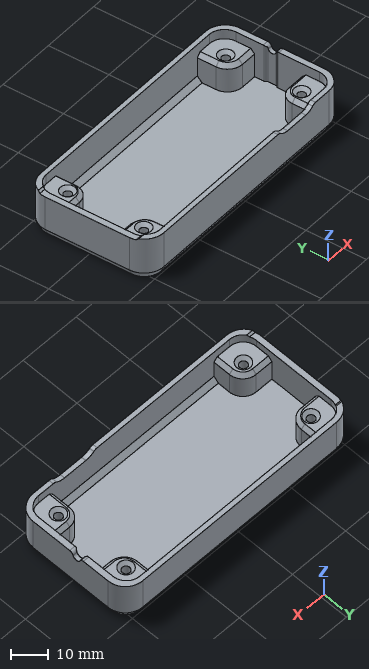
import cadquery as cq
import math

length = 86.0
width = 40.8
height = 13.85
outer_radius = 6.5
base_inset = 1.0
base_bevel_height = 2.1

end_wall = 2.0
side_wall = 1.6
floor_thickness = 1.5
inner_radius = 5.0
floor_bevel = 1.6
cavity_length = length - 2 * end_wall
cavity_width = width - 2 * side_wall

bosses = [
    (-1, 1, 10.4, 10.65, 5.0),
    (-1, -1, 10.9, 10.75, 5.0),
    (1, 1, 10.35, 11.2, 5.0),
    (1, -1, 10.35, 10.75, 4.5),
]
boss_top = 10.65
boss_bevel = 1.3
screw_x = 34.85
screw_y = 12.55
screw_diameter = 2.6
countersink_diameter = 4.9
countersink_depth = 1.1

step_depth = 0.55
step_floor_width = 31.8
step_end_run = 0.7
step_reach = 10.0

dip_x = 22.2
dip_depth = 1.55
dip_floor_width = 8.0
dip_rim_radius = 2.0
dip_floor_radius = 4.7

cable_y = 2.2
cable_depth = 2.0
cable_half_width = 2.55
groove_depth = 0.5
groove_floor_width = 2.6
groove_side_run = 0.95


def rounded_block(size_x, size_y, bottom, top, radius):
    """Centred block between two levels with rounded upright edges."""
    block = cq.Workplane("XY").workplane(offset=bottom).rect(size_x, size_y).extrude(top - bottom)
    return block.edges("|Z").fillet(radius)


def make_shell():
    """Rounded tray body with a bevelled base."""
    body = rounded_block(length, width, 0, height, outer_radius)
    return body.faces("<Z").chamfer(base_bevel_height, base_inset)


def make_cavity():
    """Open cavity whose long floor edges are bevelled."""
    cavity = rounded_block(cavity_length, cavity_width, floor_thickness, height, inner_radius)
    half = cavity_width / 2
    profile = [
        (-half, height),
        (-half, floor_thickness + floor_bevel),
        (-half + floor_bevel, floor_thickness),
        (half - floor_bevel, floor_thickness),
        (half, floor_thickness + floor_bevel),
        (half, height),
    ]
    trough = cq.Workplane("YZ").polyline(profile).close().extrude(length / 2, both=True)
    return cavity.intersect(trough)


def make_boss(side_x, side_y, reach_x, reach_y, radius):
    """Corner boss with a rounded free corner and a bevelled top, embedded in the walls."""
    overlap = end_wall / 2
    center_x = side_x * (cavity_length / 2 + overlap)
    center_y = side_y * (cavity_width / 2 + overlap)
    size_x = 2 * (reach_x + overlap)
    size_y = 2 * (reach_y + overlap)
    boss = rounded_block(size_x, size_y, floor_thickness / 2, boss_top, radius)
    boss = boss.faces(">Z").chamfer(boss_bevel)
    return boss.translate((center_x, center_y, 0))


def make_screw_hole(side_x, side_y):
    """Through hole with a conical countersink at the boss top."""
    hole_radius = screw_diameter / 2
    sink_radius = countersink_diameter / 2
    profile = [
        (0, 0),
        (hole_radius, 0),
        (hole_radius, boss_top - countersink_depth),
        (sink_radius, boss_top),
        (0, boss_top),
    ]
    hole = cq.Workplane("XZ").polyline(profile).close().revolve(360, (0, 0, 0), (0, 1, 0))
    return hole.translate((side_x * screw_x, side_y * screw_y, 0))


def make_rim_step():
    """Shallow cut in the -X rim with sloping ends."""
    half_floor = step_floor_width / 2
    half_rim = half_floor + step_end_run
    profile = [
        (-half_floor, height - step_depth),
        (half_floor, height - step_depth),
        (half_rim, height),
        (-half_rim, height),
    ]
    step = cq.Workplane("YZ").polyline(profile).close().extrude(step_reach)
    return step.translate((-length / 2, 0, 0))


def equal_blend_radius(depth, run):
    """Radius of two equal arcs that form an S-curve of the given depth and run."""
    return (depth**2 + run**2) / (4 * depth)


def blended_notch(plane, center, mouth, depth, floor_width, floor_radius, rim_radius):
    """Notch outline, open at the mouth level, with S-curve sides of a hollow and a rounded arc."""
    angle = math.acos(1 - depth / (floor_radius + rim_radius))
    floor_level = mouth - depth
    floor_end = floor_width / 2
    middle = floor_end + floor_radius * math.sin(angle)
    middle_level = floor_level + floor_radius * (1 - math.cos(angle))
    rim_end = middle + rim_radius * math.sin(angle)
    hollow = floor_end + floor_radius * math.sin(angle / 2)
    hollow_level = floor_level + floor_radius * (1 - math.cos(angle / 2))
    crest = rim_end - rim_radius * math.sin(angle / 2)
    crest_level = mouth - rim_radius * (1 - math.cos(angle / 2))
    sketch = (
        cq.Workplane(plane)
        .moveTo(center - rim_end, mouth)
        .threePointArc((center - crest, crest_level), (center - middle, middle_level))
        .threePointArc((center - hollow, hollow_level), (center - floor_end, floor_level))
    )
    if floor_width > 0:
        sketch = sketch.lineTo(center + floor_end, floor_level)
    return (
        sketch
        .threePointArc((center + hollow, hollow_level), (center + middle, middle_level))
        .threePointArc((center + crest, crest_level), (center + rim_end, mouth))
        .close()
    )


def make_rim_dip():
    """Wide shallow dip through the -Y wall."""
    outline = blended_notch(
        "XZ", dip_x, height, dip_depth, dip_floor_width, dip_floor_radius, dip_rim_radius
    )
    return outline.extrude(side_wall).translate((0, -cavity_width / 2, 0))


def make_cable_notch():
    """Round-bottomed notch through the +X wall."""
    radius = equal_blend_radius(cable_depth, cable_half_width)
    outline = blended_notch("YZ", cable_y, height, cable_depth, 0, radius, radius)
    return outline.extrude(end_wall).translate((cavity_length / 2, 0, 0))


def make_cable_groove():
    """Upright groove with S-curve sides in the inner face of the +X wall."""
    radius = equal_blend_radius(groove_depth, groove_side_run)
    plane = cq.Plane(origin=(0, 0, floor_thickness), xDir=(0, 1, 0), normal=(0, 0, 1))
    outline = blended_notch(
        plane, cable_y, -cavity_length / 2, groove_depth, groove_floor_width, radius, radius
    )
    return outline.extrude(height - floor_thickness)


shell = make_shell()
result = shell.cut(make_cavity())
for boss_data in bosses:
    result = result.union(make_boss(*boss_data).intersect(shell))
for boss_side_x, boss_side_y, _, _, _ in bosses:
    result = result.cut(make_screw_hole(boss_side_x, boss_side_y))
result = result.cut(make_rim_step())
result = result.cut(make_rim_dip())
result = result.cut(make_cable_notch())
result = result.cut(make_cable_groove())